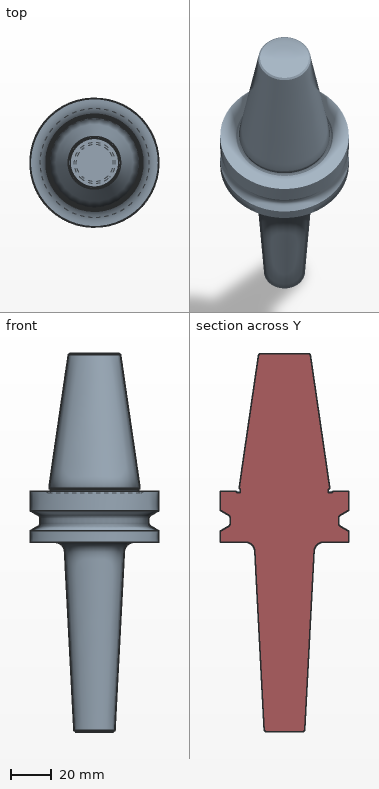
import cadquery as cq
import math

total_length = 185.4
taper_length = 65.5
nose_end_z = taper_length - total_length

gauge_radius = 22.2
taper_ratio = 7 / 24
shank_end_radius = gauge_radius - taper_length * taper_ratio / 2
shank_chamfer = 0.7

gauge_land = 0.5
relief_undercut = 0.5
relief_outer_radius = 23.7
relief_floor_radius = 23.0
relief_depth = 0.7

flange_radius = 31.5
flange_top_z = -2.0
flange_bottom_z = -27.0

groove_center_z = -16.5
groove_width = 10.0
groove_floor_radius = 26.7
groove_corner_radius = 1.3
groove_wall_drop = (flange_radius - groove_floor_radius) / math.tan(math.radians(60))

nose_tip_radius = 10.0
nose_taper_angle = 3.0
nose_chamfer = 1.0
nose_fillet = 4.6
nose_length = flange_bottom_z - nose_end_z
nose_root_radius = nose_tip_radius + nose_length * math.tan(math.radians(nose_taper_angle))


def revolve_profile(points):
    """Turn a closed (radius, z) outline about the Z axis."""
    return cq.Workplane("XZ").polyline(points).close().revolve(360, (0, 0, 0), (0, 1, 0))


def make_shank():
    neck_radius = gauge_radius - relief_undercut
    shank = revolve_profile([
        (0, flange_bottom_z),
        (neck_radius, flange_bottom_z),
        (neck_radius, -gauge_land - relief_undercut),
        (gauge_radius, -gauge_land),
        (gauge_radius, 0),
        (shank_end_radius, taper_length),
        (0, taper_length),
    ])
    return shank.faces(">Z").chamfer(shank_chamfer)


def make_groove_cutter():
    half_width = groove_width / 2
    floor_half_width = half_width - groove_wall_drop
    cutter = revolve_profile([
        (flange_radius, groove_center_z + half_width),
        (groove_floor_radius, groove_center_z + floor_half_width),
        (groove_floor_radius, groove_center_z - floor_half_width),
        (flange_radius, groove_center_z - half_width),
    ])
    floor_edges = cutter.edges(cq.selectors.RadiusNthSelector(0))
    return floor_edges.fillet(groove_corner_radius)


def make_flange_with_nose():
    body = revolve_profile([
        (0, nose_end_z),
        (nose_tip_radius, nose_end_z),
        (nose_root_radius, flange_bottom_z),
        (flange_radius, flange_bottom_z),
        (flange_radius, flange_top_z),
        (0, flange_top_z),
    ])
    body = body.faces("<Z").chamfer(nose_chamfer)
    nose_root = cq.selectors.RadiusNthSelector(2)
    body = body.edges(nose_root).fillet(nose_fillet)
    relief = revolve_profile([
        (0, flange_top_z),
        (relief_outer_radius, flange_top_z),
        (relief_floor_radius, flange_top_z - relief_depth),
        (0, flange_top_z - relief_depth),
    ])
    return body.cut(relief).cut(make_groove_cutter())


result = make_flange_with_nose().union(make_shank())